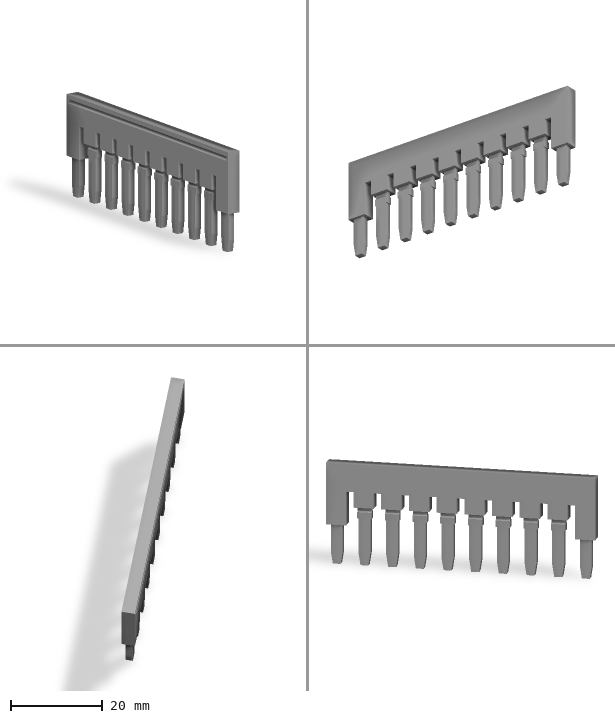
import cadquery as cq
import math


length = 60.3
thickness = 3.0
height = 23.0
prong_count = 10

tooth_gap = 1.7
tooth_width = (length - (prong_count - 1) * tooth_gap) / prong_count
pitch = tooth_width + tooth_gap
spine_depth = 6.35
inner_tooth_depth = 9.8
end_tooth_depth = 14.0

groove_end_margin = 0.6
groove_top_depth = 1.0
groove_height = 0.95
groove_cut = 0.95
groove_upper_angle = 75.0
groove_lower_angle = 70.0

prong_thickness = 1.55
prong_width = 2.65
tip_width = 1.75
tip_length = 2.85
shoulder_width = 3.2
shoulder_depth = 12.5

neck_depth = 10.75
neck_cut = 0.35
neck_slope_angle = 55.0

top = height
front = -thickness / 2
prong_front = -prong_thickness / 2


def block(width, depth_y, z_low, z_high, x_center):
    """Box centred in Y, spanning z_low to z_high."""
    return (
        cq.Workplane("XY", origin=(x_center, 0, z_low))
        .rect(width, depth_y)
        .extrude(z_high - z_low)
    )


def prong(x_center, root_z):
    """Flat prong with a tapered tip, rising to root_z."""
    half_width = prong_width / 2
    half_tip = tip_width / 2
    outline = [
        (-half_tip, 0),
        (half_tip, 0),
        (half_width, tip_length),
        (half_width, root_z),
        (-half_width, root_z),
        (-half_width, tip_length),
    ]
    return (
        cq.Workplane("XZ", origin=(x_center, 0, 0))
        .polyline(outline)
        .close()
        .extrude(prong_thickness / 2, both=True)
    )


def shoulder(x_center, root_z):
    """Wider prong root, notched front and back just under the tooth."""
    root = block(shoulder_width, prong_thickness, top - shoulder_depth, root_z, x_center)
    slope_height = neck_cut / math.tan(math.radians(neck_slope_angle))
    notch_floor = prong_front + neck_cut
    notch = (
        cq.Workplane("YZ", origin=(x_center, 0, 0))
        .moveTo(prong_front, root_z)
        .lineTo(notch_floor, root_z)
        .lineTo(notch_floor, top - neck_depth)
        .lineTo(prong_front, top - neck_depth - slope_height)
        .close()
        .extrude(shoulder_width / 2, both=True)
    )
    return root.cut(notch).cut(notch.mirror("XZ"))


def groove():
    """Long tapered-wall groove cut into the front face."""
    z_high = top - groove_top_depth
    z_low = z_high - groove_height
    upper_run = groove_cut / math.tan(math.radians(groove_upper_angle))
    lower_run = groove_cut / math.tan(math.radians(groove_lower_angle))
    profile = [
        (front, z_low),
        (front, z_high),
        (front + groove_cut, z_high - upper_run),
        (front + groove_cut, z_low + lower_run),
    ]
    return (
        cq.Workplane("YZ")
        .polyline(profile)
        .close()
        .extrude(length / 2 - groove_end_margin, both=True)
    )


result = block(length, thickness, top - spine_depth, top, 0).cut(groove())

for index in range(prong_count):
    x = (index - (prong_count - 1) / 2) * pitch
    is_end = index in (0, prong_count - 1)
    tooth_bottom = top - (end_tooth_depth if is_end else inner_tooth_depth)
    result = result.union(block(tooth_width, thickness, tooth_bottom, top - spine_depth, x))
    if is_end:
        result = result.union(prong(x, tooth_bottom))
    else:
        result = result.union(prong(x, top - shoulder_depth))
        result = result.union(shoulder(x, tooth_bottom))